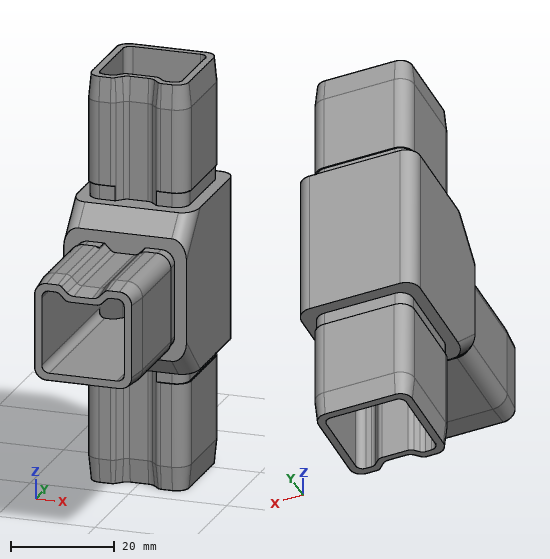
import cadquery as cq
import math


length = 83.0
body_width = 25.0
body_depth = 29.05
stub_length = 25.0
body_height = length - 2 * stub_length

body_radius = 3.0
body_chamfer = 4.0
body_back = body_width / 2
body_front = body_back - body_depth

stub_width = 20.75
stub_radius = 3.0
neck_length = 3.0
neck_step = 0.29
tip_length = 5.0
tip_inset = 0.5
grip_length = stub_length - neck_length - tip_length
tip_angle = math.degrees(math.atan(tip_inset / tip_length))

groove_floor = 5.0
groove_depth = 2.0
groove_radius = 1.5

wall = 2.0
bore_width = stub_width - 2 * wall
bore_radius = 1.5
rib_crest = 6.7
rib_height = 1.75
rib_radius = 1.5


def grooved_square(width, corner_radius, floor_width, depth, groove_fillet):
    """Rounded square with a 45 degree trapezoidal groove in its -Y side."""
    half = width / 2
    floor_half = floor_width / 2
    mouth_half = floor_half + depth
    return (
        cq.Sketch()
        .polygon([
            (-half, -half),
            (-mouth_half, -half),
            (-floor_half, depth - half),
            (floor_half, depth - half),
            (mouth_half, -half),
            (half, -half),
            (half, half),
            (-half, half),
            (-half, -half),
        ])
        .vertices("not(<X or >X)")
        .fillet(groove_fillet)
        .reset()
        .vertices("<X or >X")
        .fillet(corner_radius)
        .reset()
    )


def make_body():
    """Block with rounded back edges and rounded chamfers above and below the front face."""
    block = cq.Workplane("XY").box(body_width, body_depth, body_height)
    block = block.translate((0, (body_back + body_front) / 2, 0))
    block = block.faces("<Y").edges("|X").chamfer(body_chamfer)
    block = block.edges("not(|X or |Y or |Z)").fillet(body_radius)
    return block.edges("|Z and >Y").fillet(body_radius)


def make_stub(base):
    """Solid grooved stub standing on the base plane."""
    outline = grooved_square(stub_width, stub_radius, groove_floor, groove_depth, groove_radius)
    neck_width = stub_width - 2 * neck_step
    neck_outline = cq.Sketch().rect(neck_width, neck_width).vertices().fillet(stub_radius - neck_step)
    straight = cq.Workplane(base).placeSketch(outline).extrude(neck_length + grip_length)
    neck = cq.Workplane(base).placeSketch(neck_outline).extrude(neck_length).intersect(straight)
    grip_start = cq.Workplane(base).workplane(offset=neck_length)
    grip = grip_start.placeSketch(outline).extrude(grip_length)
    tip_start = grip_start.workplane(offset=grip_length)
    tip = tip_start.placeSketch(outline).extrude(tip_length, taper=tip_angle)
    return neck.union(grip).union(tip)


def make_bore(start, depth):
    """Bore shape running from the start plane along its normal."""
    outline = grooved_square(bore_width, bore_radius, rib_crest, rib_height, rib_radius)
    return cq.Workplane(start).placeSketch(outline).extrude(depth)


top_base = cq.Plane((0, 0, body_height / 2), (1, 0, 0), (0, 0, 1))
bottom_base = cq.Plane((0, 0, -body_height / 2), (-1, 0, 0), (0, 0, -1))
side_base = cq.Plane((0, body_front, 0), (-1, 0, 0), (0, -1, 0))

result = make_body()
for base in (top_base, bottom_base, side_base):
    result = result.union(make_stub(base))

bottom_end = cq.Plane((0, 0, -length / 2), (1, 0, 0), (0, 0, 1))
side_axis = cq.Plane((0, 0, 0), (-1, 0, 0), (0, -1, 0))
result = result.cut(make_bore(bottom_end, length))
result = result.cut(make_bore(side_axis, stub_length - body_front))